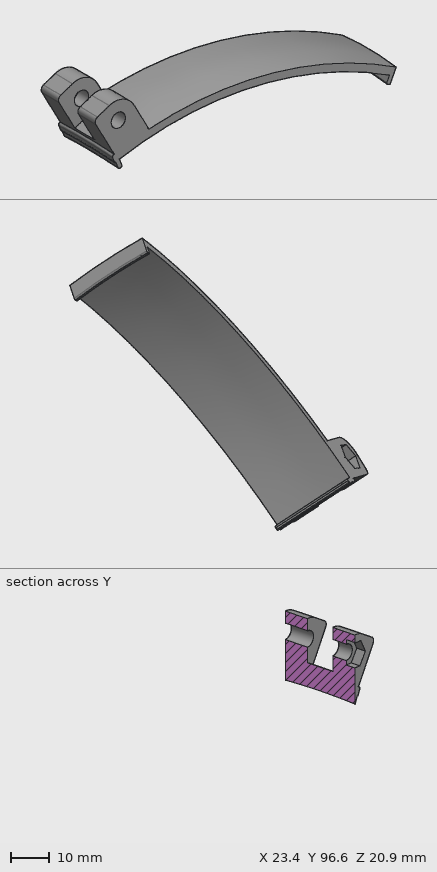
import cadquery as cq
import math

width = 23.4
outer_radius = 113.7
thickness = 2.4
crown = 0.5
rear_angle = 24.4
front_angle = 23.0
front_edge_round = 0.6

hook_inner_radius = 108.8
hook_thickness = 1.4
hook_tip_round = 0.4
front_hook_inset = 0.3
hook_sweep = math.degrees(hook_thickness / outer_radius)
inset_angle = math.degrees(front_hook_inset / outer_radius)

pin_y = -42.2
pin_z = 113.9
hinge_tilt = 30
hinge_half = 5.8
hinge_corner_round = 1.45
rear_foot_depth = 10.6
front_foot_depth = 8.0
slot_width = 8.4
pin_diameter = 4.5
nut_corner_diameter = 8.1
nut_turn = 33
nut_depth = 2.9


def crowned_sector(inner, outer, start, sweep):
    """Sweep a crowned cross-section about X; start is degrees from +Z toward -Y."""
    half = width / 2
    section = (
        cq.Workplane("XZ")
        .moveTo(-half, inner - crown)
        .threePointArc((0, inner), (half, inner - crown))
        .lineTo(half, outer - crown)
        .threePointArc((0, outer), (-half, outer - crown))
        .close()
    )
    sector = section.revolve(sweep, (0, 0, 0), (1, 0, 0))
    return sector.rotate((0, 0, 0), (1, 0, 0), start)


def make_band():
    inner_radius = outer_radius - thickness
    band = crowned_sector(inner_radius, outer_radius, -rear_angle, rear_angle + front_angle)
    return band.faces("<Y").edges(">Z").fillet(front_edge_round)


def make_hook(start):
    """Radial lip reaching inward from the band, with rounded tip edges."""
    overlap_radius = outer_radius - thickness / 2
    hook = crowned_sector(hook_inner_radius, overlap_radius, -hook_sweep / 2, hook_sweep)
    tip_edges = hook.faces("<Z").edges(">Y or <Y")
    hook = tip_edges.fillet(hook_tip_round)
    return hook.rotate((0, 0, 0), (1, 0, 0), start + hook_sweep / 2)


def make_hinge():
    """Forked block with a pin hole, a nut pocket and a central slot."""
    diagonal = hinge_half * math.sqrt(0.5)
    block = (
        cq.Workplane("YZ")
        .moveTo(hinge_half, -rear_foot_depth)
        .lineTo(hinge_half, 0)
        .threePointArc((diagonal, diagonal), (0, hinge_half))
        .lineTo(-hinge_half, hinge_half)
        .lineTo(-hinge_half, -front_foot_depth)
        .close()
        .extrude(width / 2, both=True)
    )
    block = block.edges("|X and >Z and <Y").fillet(hinge_corner_round)

    slot = cq.Workplane("XY").box(slot_width, 2 * hinge_half, 2 * hinge_half)
    pin_hole = cq.Workplane("YZ").circle(pin_diameter / 2).extrude(width / 2, both=True)
    nut_pocket = (
        cq.Workplane("YZ", origin=(-width / 2, 0, 0))
        .polygon(6, nut_corner_diameter)
        .extrude(nut_depth)
        .rotate((0, 0, 0), (1, 0, 0), nut_turn)
    )
    hinge = block.cut(slot).cut(pin_hole).cut(nut_pocket)
    return hinge.rotate((0, 0, 0), (1, 0, 0), hinge_tilt).translate((0, pin_y, pin_z))


rear_hook = make_hook(-rear_angle)
front_hook = make_hook(front_angle - inset_angle - hook_sweep)
result = make_band().union(rear_hook).union(front_hook).union(make_hinge())